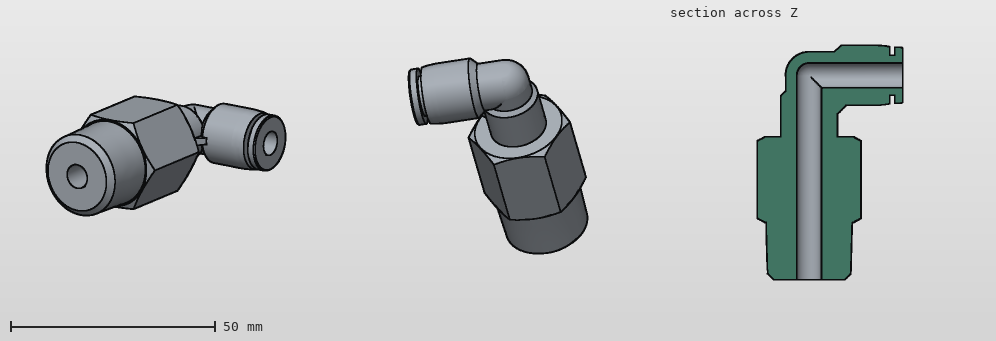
import cadquery as cq


stem_end_radius = 8.65
stem_small_radius = 10.2
stem_large_radius = 10.55
stem_chamfer_length = 1.5
hex_across_flats = 22.0
hex_start = 14.0
hex_end = 35.0
hex_crown_radius = 10.9
hex_crown_height = 1.05
hex_corner_radius = hex_across_flats / 3 ** 0.5

total_length = 57.4
neck_radius = 6.95
neck_shoulder_start = 45.05
neck_shoulder_length = 1.1
elbow_radius = 5.8

socket_radius = 7.4
socket_cone_start = 6.1
socket_start = 7.8
taper_start = 16.4
taper_middle = 18.55
taper_middle_radius = 7.25
socket_end = 19.75
socket_end_radius = 7.0
sleeve_radius = 4.95
flange_start = 20.9
flange_radius = 6.9
flange_bevel_start = 22.55
flange_end_radius = 6.6
flange_end = 22.9
socket_axis_y = total_length - socket_radius

gusset_thickness = 1.7
gusset_foot_y = 40.5
bore_radius = 3.0


def turned_on_y(profile):
    """Revolve (radius, y) points around the Y axis."""
    return cq.Workplane("XY").polyline(profile).close().revolve(360, (0, 0), (0, 1))


def make_stem():
    return turned_on_y([
        (0, 0),
        (stem_end_radius, 0),
        (stem_small_radius, stem_chamfer_length),
        (stem_large_radius, hex_start),
        (0, hex_start),
    ])


def make_hexagon():
    prism = (
        cq.Workplane("XZ", origin=(0, hex_start, 0))
        .polygon(6, 2 * hex_corner_radius)
        .extrude(hex_start - hex_end)
    )
    crowned_envelope = turned_on_y([
        (0, hex_start),
        (hex_crown_radius, hex_start),
        (hex_corner_radius, hex_start + hex_crown_height),
        (hex_corner_radius, hex_end - hex_crown_height),
        (hex_crown_radius, hex_end),
        (0, hex_end),
    ])
    return prism.intersect(crowned_envelope)


def make_neck():
    return turned_on_y([
        (0, hex_end),
        (neck_radius, hex_end),
        (neck_radius, neck_shoulder_start),
        (elbow_radius, neck_shoulder_start + neck_shoulder_length),
        (elbow_radius, socket_axis_y),
        (0, socket_axis_y),
    ])


def make_elbow_ball():
    return cq.Workplane("XY", origin=(0, socket_axis_y, 0)).sphere(elbow_radius)


def make_socket():
    profile = [
        (0, 0),
        (0, elbow_radius),
        (socket_cone_start, elbow_radius),
        (socket_start, socket_radius),
        (taper_start, socket_radius),
        (taper_middle, taper_middle_radius),
        (socket_end, socket_end_radius),
        (socket_end, sleeve_radius),
        (flange_start, sleeve_radius),
        (flange_start, flange_radius),
        (flange_bevel_start, flange_radius),
        (flange_end, flange_end_radius),
        (flange_end, 0),
    ]
    return (
        cq.Workplane("XY", origin=(0, socket_axis_y, 0))
        .polyline(profile)
        .close()
        .revolve(360, (0, 0), (1, 0))
    )


def make_gusset():
    """Thin 45 degree web in the corner between neck and socket."""
    rise = socket_axis_y - gusset_foot_y
    return (
        cq.Workplane("XY")
        .moveTo(neck_radius, gusset_foot_y)
        .lineTo(neck_radius + rise, socket_axis_y)
        .lineTo(0, socket_axis_y)
        .lineTo(0, gusset_foot_y)
        .close()
        .extrude(gusset_thickness / 2, both=True)
    )


def make_bore():
    """Elbow passage: stem face to socket axis, round the ball, out through the flange."""
    stem_passage = cq.Workplane("XZ").circle(bore_radius).extrude(-socket_axis_y)
    bend = cq.Workplane("XY", origin=(0, socket_axis_y, 0)).sphere(bore_radius)
    socket_passage = (
        cq.Workplane("YZ", origin=(0, socket_axis_y, 0))
        .circle(bore_radius)
        .extrude(flange_end)
    )
    return stem_passage.union(bend).union(socket_passage)


result = (
    make_stem()
    .union(make_hexagon())
    .union(make_neck())
    .union(make_elbow_ball())
    .union(make_socket())
    .union(make_gusset())
    .cut(make_bore())
)